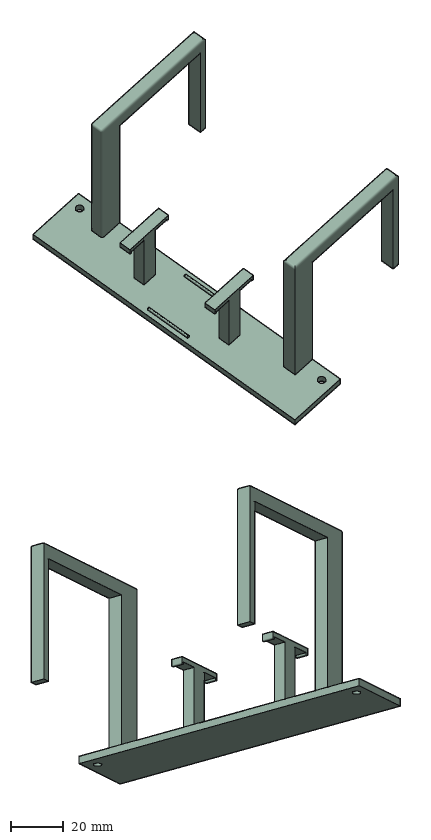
import cadquery as cq
total_depth = 75.0
total_height = 70.0

base_length = 132.5
base_depth = 26.0
base_thickness = 3.0
screw_hole_diameter = 3.2
screw_hole_inset = 5.0
rib_length = 20.4

ridge_width = 1.0
ridge_height = 1.0
ridge_rounding = 0.46
ridge_inset = 2.0

hook_width = 6.0
hook_rounding = 1.0
left_hook_x = -48.4
right_hook_x = 49.2
upright_depth = 10.0
arm_height = 6.0
leg_thickness = 3.0
leg_drop = 55.9

support_width = 5.0
support_spacing = 42.9
support_height = 30.0
crossbar_thickness = 2.0
post_front_inset = 10.0
post_depth = 6.5

front_ridge_y = -base_depth + ridge_inset + ridge_width / 2
rear_ridge_y = -ridge_inset - ridge_width / 2


def make_ridge(length, center_x, center_y, seat_z, free_side):
    """Ridge along X on a seat plane; free_side is +1 to rise from it or -1 to hang below it."""
    center_z = seat_z + free_side * ridge_height / 2
    free_face = ">Z" if free_side > 0 else "<Z"
    return (
        cq.Workplane("XY", origin=(center_x, center_y, center_z))
        .box(length, ridge_width, ridge_height)
        .faces(free_face)
        .edges()
        .fillet(ridge_rounding)
    )


def make_base():
    hole_x = base_length / 2 - screw_hole_inset
    base = (
        cq.Workplane("XY")
        .moveTo(0, -base_depth / 2)
        .rect(base_length, base_depth)
        .pushPoints([(-hole_x, -screw_hole_inset), (hole_x, -screw_hole_inset)])
        .circle(screw_hole_diameter / 2)
        .extrude(base_thickness)
    )
    for rib_y in (front_ridge_y, rear_ridge_y):
        base = base.union(make_ridge(rib_length, 0, rib_y, base_thickness, 1))
    return base


def make_hook(center_x, round_upright):
    """Hook standing on the base, rounded along its top and, if asked, down the front of its upright."""
    arm_underside = total_height - arm_height
    leg_tip = total_height - leg_drop
    leg_rear_y = total_depth - base_depth
    leg_front_y = leg_rear_y - leg_thickness
    outline = [
        (-upright_depth, base_thickness),
        (-upright_depth, total_height),
        (leg_rear_y, total_height),
        (leg_rear_y, leg_tip),
        (leg_front_y, leg_tip),
        (leg_front_y, arm_underside),
        (0, arm_underside),
        (0, base_thickness),
    ]
    hook = (
        cq.Workplane("YZ", origin=(center_x, 0, 0))
        .polyline(outline)
        .close()
        .extrude(hook_width / 2, both=True)
    )
    rounded_edges = hook.faces(">Z").edges()
    if round_upright:
        rounded_edges = rounded_edges.add(hook.faces("<Y").edges("|Z"))
    return rounded_edges.fillet(hook_rounding)


def make_support(center_x):
    bar_top = base_thickness + support_height
    bar_underside = bar_top - crossbar_thickness
    bar_front_y = -base_depth + ridge_inset
    bar_rear_y = -ridge_inset
    post_front_y = -base_depth + post_front_inset
    post_rear_y = post_front_y + post_depth
    outline = [
        (post_front_y, base_thickness),
        (post_front_y, bar_underside),
        (bar_front_y, bar_underside),
        (bar_front_y, bar_top),
        (bar_rear_y, bar_top),
        (bar_rear_y, bar_underside),
        (post_rear_y, bar_underside),
        (post_rear_y, base_thickness),
    ]
    support = (
        cq.Workplane("YZ", origin=(center_x, 0, 0))
        .polyline(outline)
        .close()
        .extrude(support_width / 2, both=True)
    )
    for lip_y in (front_ridge_y, rear_ridge_y):
        support = support.union(make_ridge(support_width, center_x, lip_y, bar_underside, -1))
    return support


base = make_base()
hooks = [make_hook(left_hook_x, True), make_hook(right_hook_x, False)]
supports = [make_support(side * support_spacing / 2) for side in (-1, 1)]

result = cq.Compound.makeCompound([body.val() for body in [base, *hooks, *supports]])